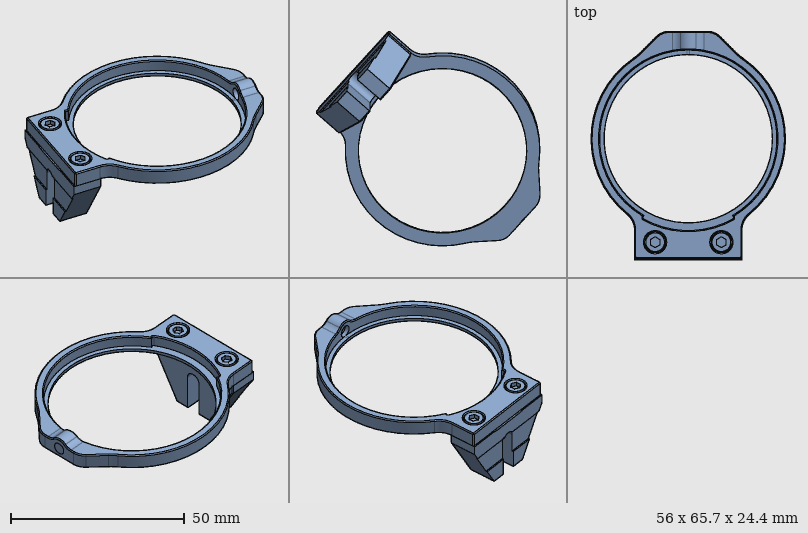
import cadquery as cq
import math

plate_thickness = 4.55
ring_outer_radius = 28.0
bore_radius = 24.2
seat_radius = 25.5
lip_thickness = 1.0
edge_chamfer = 0.3

relief_radius = 26.4
relief_half_angle = math.radians(30)
relief_corner_radius = 0.45

lug_end_y = 30.9
lug_half_width = 7.7
lug_corner_radius = 5.0
lug_blend_radius = 15.0

boss_height = 1.65
boss_inflection_x = 2.25
boss_blend_radius = (boss_inflection_x**2 + (boss_height / 2) ** 2) / boss_height
boss_end_y = 24.95
set_screw_radius = 1.8
set_screw_length = 4.0
set_screw_z = plate_thickness + boss_height - boss_blend_radius

base_half_width = 15.45
base_front_y = -34.4
base_blend_radius = 6.0

foot_front_y = -34.8
foot_back_y = -25.9
foot_height = 18.2
foot_shoulder_z = -2.8
foot_top_half_width = base_half_width
foot_tip_half_width = 6.5
slot_half_width = 2.265
slot_top_z = -4.35
front_groove_top_z = -5.2
front_groove_bottom_z = -12.7
front_groove_depth = 0.4
trough_half_width = 6.8
trough_floor_half_width = 4.3
trough_depth = 0.25

screw_xs = (-9.5, 9.5)
screw_y = -29.75
head_radius = 2.7
head_height = 2.95
head_clearance_radius = 3.0
shank_radius = 1.5
shank_length = 7.9
socket_flats = 2.7
socket_depth = 1.3
shoulder_z = plate_thickness - head_height


def make_plate_blank():
    """Ring, lug and base as one flat plate with blended corners."""
    ring = cq.Workplane("XY").circle(ring_outer_radius).extrude(plate_thickness)
    lug_points = [
        (-lug_half_width, lug_end_y),
        (lug_half_width, lug_end_y),
        (lug_half_width + lug_end_y, 0),
        (-lug_half_width - lug_end_y, 0),
    ]
    lug = cq.Workplane("XY").polyline(lug_points).close().extrude(plate_thickness)
    flank_sum = lug_half_width + lug_end_y
    flank_root_x = (flank_sum - math.sqrt(2 * ring_outer_radius**2 - flank_sum**2)) / 2
    flank_root_y = flank_sum - flank_root_x
    lug = lug.intersect(
        cq.Workplane("XY")
        .rect(2 * flank_root_x, 2 * lug_end_y)
        .extrude(plate_thickness)
    )
    base = (
        cq.Workplane("XY")
        .center(0, base_front_y / 2)
        .rect(2 * base_half_width, -base_front_y)
        .extrude(plate_thickness)
    )
    blank = ring.union(lug).union(base)
    base_root_y = -math.sqrt(ring_outer_radius**2 - base_half_width**2)

    def upright_edges(x, y):
        mid = plate_thickness / 2
        for side in (-x, x):
            yield cq.selectors.NearestToPointSelector((side, y, mid))

    for x, y, radius in (
        (lug_half_width, lug_end_y, lug_corner_radius),
        (flank_root_x, flank_root_y, lug_blend_radius),
        (base_half_width, base_root_y, base_blend_radius),
    ):
        for selector in upright_edges(x, y):
            blank = blank.edges("|Z").edges(selector).fillet(radius)
    for selector in upright_edges(base_half_width, base_front_y):
        blank = blank.edges("|Z").edges(selector).chamfer(edge_chamfer)
    return blank


def make_boss():
    """Hump whose convex crown runs tangentially into the plate through concave blends."""
    half_angle = math.asin(boss_inflection_x / boss_blend_radius) / 2
    arc_mid_x = boss_blend_radius * math.sin(half_angle)
    arc_mid_drop = boss_blend_radius * (1 - math.cos(half_angle))
    foot_x = 2 * boss_inflection_x
    inflection_z = plate_thickness + boss_height / 2
    blend_mid_z = plate_thickness + arc_mid_drop
    return (
        cq.Workplane("XZ", origin=(0, lug_end_y, 0))
        .moveTo(-foot_x, 0)
        .lineTo(-foot_x, plate_thickness)
        .threePointArc((arc_mid_x - foot_x, blend_mid_z), (-boss_inflection_x, inflection_z))
        .threePointArc((0, plate_thickness + boss_height), (boss_inflection_x, inflection_z))
        .threePointArc((foot_x - arc_mid_x, blend_mid_z), (foot_x, plate_thickness))
        .lineTo(foot_x, 0)
        .close()
        .extrude(lug_end_y - boss_end_y)
    )


def make_seat_cutter():
    """Stepped seat for the optic, widened by the relief next to the base."""
    cut_height = plate_thickness + boss_height
    seat = cq.Workplane("XY", origin=(0, 0, lip_thickness)).circle(seat_radius).extrude(cut_height)
    reach_x = relief_radius * math.sin(relief_half_angle)
    reach_y = -relief_radius * math.cos(relief_half_angle)
    relief = (
        cq.Workplane("XY", origin=(0, 0, lip_thickness))
        .lineTo(-reach_x, reach_y)
        .threePointArc((0, -relief_radius), (reach_x, reach_y))
        .close()
        .extrude(cut_height)
        .edges("|Z and (<X or >X)")
        .fillet(relief_corner_radius)
    )
    return seat.union(relief)


def make_cap_screw(x):
    """Cap screw with a flush head and a hexagon socket."""
    head = cq.Workplane("XY", origin=(x, screw_y, shoulder_z)).circle(head_radius).extrude(head_height)
    shank = cq.Workplane("XY", origin=(x, screw_y, shoulder_z)).circle(shank_radius).extrude(-shank_length)
    socket = (
        cq.Workplane("XY", origin=(x, screw_y, plate_thickness))
        .transformed(rotate=(0, 0, 30))
        .polygon(6, socket_flats / math.cos(math.radians(30)))
        .extrude(-socket_depth)
    )
    return head.union(shank).cut(socket)


def make_set_screw():
    """Plain set screw, flush with the end of the lug."""
    return (
        cq.Workplane("XZ", origin=(0, lug_end_y, set_screw_z))
        .circle(set_screw_radius)
        .extrude(set_screw_length)
    )


def make_shank_holes():
    return (
        cq.Workplane("XY", origin=(0, screw_y, shoulder_z))
        .pushPoints([(x, 0) for x in screw_xs])
        .circle(shank_radius)
        .extrude(-shank_length)
    )


def make_housing():
    plate = make_plate_blank().union(make_boss()).cut(make_seat_cutter())

    top_edges = plate.edges(cq.selectors.BoxSelector(
        (-32.85, -39.4, plate_thickness - 0.05), (32.85, 39.4, 2 * plate_thickness)))
    crease_edges = top_edges.edges("|Y").edges(cq.selectors.BoxSelector(
        (-5.25, boss_end_y, 0), (5.25, lug_end_y, 2 * plate_thickness)))
    rim_edges = [edge for edge in top_edges.vals() if not any(edge.isSame(c) for c in crease_edges.vals())]
    plate = cq.Workplane(plate.val().chamfer(edge_chamfer, None, rim_edges))

    bore = cq.Workplane("XY").circle(bore_radius).extrude(plate_thickness)
    counterbores = (
        cq.Workplane("XY", origin=(0, screw_y, shoulder_z))
        .pushPoints([(x, 0) for x in screw_xs])
        .circle(head_clearance_radius)
        .extrude(head_height)
    )
    flares = cq.Workplane("XY")
    for x in screw_xs:
        cone = cq.Solid.makeCone(
            head_clearance_radius,
            head_clearance_radius + edge_chamfer,
            edge_chamfer,
            pnt=cq.Vector(x, screw_y, plate_thickness - edge_chamfer),
        )
        flares = flares.add(cone)
    set_screw_hole = (
        cq.Workplane("XZ", origin=(0, lug_end_y, set_screw_z))
        .circle(set_screw_radius)
        .extrude(lug_end_y - bore_radius)
    )
    plate = plate.cut(bore).cut(counterbores).cut(flares.combine()).cut(set_screw_hole)
    return plate.cut(make_shank_holes())


def make_foot():
    """Tapered, slotted clamp foot with a shallow trough along its top."""
    right_side = [
        (foot_top_half_width, 0),
        (foot_top_half_width, foot_shoulder_z),
        (foot_tip_half_width, -foot_height),
    ]
    left_side = [(-x, z) for x, z in reversed(right_side)]
    depth = foot_back_y - foot_front_y
    blank = (
        cq.Workplane("XZ", origin=(0, foot_front_y, 0))
        .polyline(right_side + left_side)
        .close()
        .extrude(-depth)
    )
    blank = blank.faces(">Y").edges("not(>Z)").chamfer(edge_chamfer)

    slot_centre_z = slot_top_z - slot_half_width
    slot = (
        cq.Workplane("XZ", origin=(0, foot_front_y, 0))
        .moveTo(-slot_half_width, -foot_height)
        .lineTo(-slot_half_width, slot_centre_z)
        .threePointArc((0, slot_top_z), (slot_half_width, slot_centre_z))
        .lineTo(slot_half_width, -foot_height)
        .close()
        .extrude(-depth)
    )
    groove = cq.Workplane("XY").box(
        2 * foot_top_half_width,
        2 * front_groove_depth,
        front_groove_top_z - front_groove_bottom_z,
    ).translate((0, foot_front_y, (front_groove_top_z + front_groove_bottom_z) / 2))

    ramp_width = trough_half_width - trough_floor_half_width
    ramp_radius = (ramp_width**2 + trough_depth**2) / (2 * trough_depth)
    half_angle = math.asin(ramp_width / ramp_radius) / 2
    ramp_mid_x = trough_floor_half_width + ramp_radius * math.sin(half_angle)
    ramp_mid_z = ramp_radius * (1 - math.cos(half_angle)) - trough_depth
    trough = (
        cq.Workplane("XZ", origin=(0, foot_front_y, 0))
        .moveTo(-trough_half_width, 0)
        .threePointArc((-ramp_mid_x, ramp_mid_z), (-trough_floor_half_width, -trough_depth))
        .lineTo(trough_floor_half_width, -trough_depth)
        .threePointArc((ramp_mid_x, ramp_mid_z), (trough_half_width, 0))
        .close()
        .extrude(-depth)
    )
    return blank.cut(slot).cut(groove).cut(trough).cut(make_shank_holes())


housing = make_housing()
foot = make_foot()
cap_screws = [make_cap_screw(x) for x in screw_xs]
set_screw = make_set_screw()

result = cq.Compound.makeCompound(
    [housing.val(), foot.val(), *[screw.val() for screw in cap_screws], set_screw.val()]
)